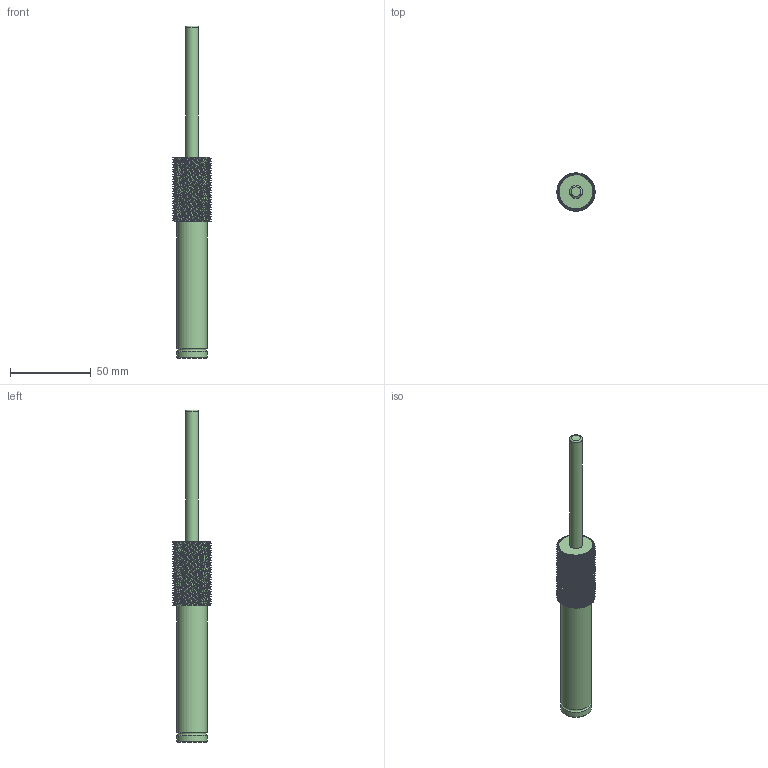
import cadquery as cq
import math

total_length = 205.0
sleeve_length = 40.0
body_length = 124.0
sleeve_bottom = body_length - sleeve_length

rod_diameter = 8.0
body_diameter = 19.0
thread_diameter = 23.57

thread_pitch = 1.5
thread_flank_angle = 60.0
full_v_height = thread_pitch / 2 / math.tan(math.radians(thread_flank_angle / 2))
thread_depth = 5 / 8 * full_v_height
thread_start_angle = -32.0
flank_samples = 8

groove_center_height = 5.0
groove_radius = 1.0

rod_fillet = 1.0
base_chamfer = 0.5


def make_body():
    """Cylindrical body with a chamfered base and a half-round groove above it."""
    radius = body_diameter / 2
    return (
        cq.Workplane("XZ")
        .moveTo(0, 0)
        .lineTo(radius - base_chamfer, 0)
        .lineTo(radius, base_chamfer)
        .lineTo(radius, groove_center_height - groove_radius)
        .threePointArc(
            (radius - groove_radius, groove_center_height),
            (radius, groove_center_height + groove_radius),
        )
        .lineTo(radius, body_length)
        .lineTo(0, body_length)
        .close()
        .revolve(360, (0, 0, 0), (0, 1, 0))
    )


def make_rod():
    """Slender rod standing on the sleeve, rounded at its free end."""
    return (
        cq.Workplane("XY", origin=(0, 0, body_length))
        .circle(rod_diameter / 2)
        .extrude(total_length - body_length)
        .faces(">Z")
        .fillet(rod_fillet)
    )


def thread_section():
    """Section of the single-start thread square to its axis: sharp crest, flank, root arc, flank.

    Along the axis the profile repeats every pitch, so one turn of the section covers one pitch
    and each straight flank becomes an Archimedean spiral.
    """
    crest_radius = thread_diameter / 2
    root_radius = crest_radius - thread_depth
    flank_height = thread_depth * math.tan(math.radians(thread_flank_angle / 2))
    flank_sweep = 2 * math.pi * flank_height / thread_pitch

    def section_point(radius, angle):
        return (radius * math.cos(angle), radius * math.sin(angle))

    def flank_point(depth_share, side):
        radius = crest_radius - depth_share * thread_depth
        return section_point(radius, side * depth_share * flank_sweep)

    steps = range(flank_samples + 1)
    leading_flank = [flank_point(i / flank_samples, 1) for i in steps]
    trailing_flank = [flank_point(1 - i / flank_samples, -1) for i in steps]

    return (
        cq.Workplane("XY")
        .spline(leading_flank)
        .threePointArc(section_point(root_radius, math.pi), trailing_flank[0])
        .spline(trailing_flank[1:], includeCurrent=True)
        .close()
    )


def make_sleeve():
    """Right-hand threaded sleeve: the thread section twisted one turn per pitch."""
    turns = sleeve_length / thread_pitch
    return (
        thread_section()
        .twistExtrude(sleeve_length, 360 * turns)
        .rotate((0, 0, 0), (0, 0, 1), thread_start_angle)
        .translate((0, 0, sleeve_bottom))
    )


result = make_body().union(make_sleeve()).union(make_rod())